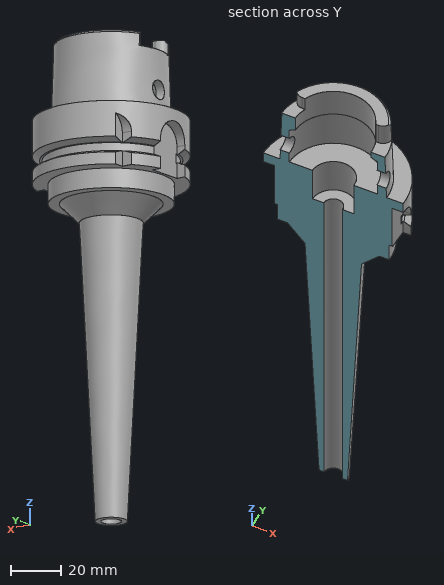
import cadquery as cq
import math

total_height = 197.0
flange_top = 165.3
groove_upper_edge = 150.5
groove_ceiling = 149.0
groove_floor = 145.4
groove_lower_edge = 144.0
flange_bottom = 139.0
collar_bottom = 131.0
neck_top = 123.1

tip_radius = 6.5
neck_radius = 12.8
shoulder_radius = 20.7
collar_radius = 25.2
flange_radius = 31.5
groove_shelf_radius = 28.5
groove_radius = 27.5
taper_base_radius = 24.0
taper_top_radius = 23.0
rim_chamfer = 1.0

through_radius = 4.1
socket_radius = 9.3
socket_depth = 47.3
bore_radius = 17.0
bore_lip_depth = 12.6
relief_radius = 19.7
relief_flank_angle = 30.0
relief_depth = 31.5

slot_half_width = 6.1
slot_flare_radius = 4.0
slot_flare_reach = 21.0
left_slot_depth = 6.0
right_slot_depth = 9.7

cross_hole_radius = 4.0
cross_hole_height = 174.3

key_top = 160.2
key_floor = 26.5
left_key_radius = 8.0
right_key_radius = 9.0
notch_radius = 8.0
notch_center_y = 27.8
notch_top = 161.0
notch_floor = 20.0


def outer_body():
    profile = [
        (0, 0),
        (tip_radius, 0),
        (neck_radius, neck_top),
        (shoulder_radius, collar_bottom),
        (collar_radius, collar_bottom),
        (collar_radius, flange_bottom),
        (flange_radius, flange_bottom),
        (flange_radius, groove_lower_edge),
        (groove_shelf_radius, groove_floor),
        (groove_radius, groove_floor),
        (groove_radius, groove_ceiling),
        (groove_shelf_radius, groove_ceiling),
        (flange_radius, groove_upper_edge),
        (flange_radius, flange_top),
        (taper_base_radius, flange_top),
        (taper_top_radius, total_height - rim_chamfer),
        (taper_top_radius - rim_chamfer, total_height),
        (0, total_height),
    ]
    return cq.Workplane("XZ").polyline(profile).close().revolve(360, (0, 0, 0), (0, 1, 0))


def bore():
    """Hollow of the taper with a clamping relief, a socket and a through hole."""
    lip = total_height - bore_lip_depth
    flank_width = relief_radius - bore_radius
    flank_end = lip - flank_width * math.tan(math.radians(relief_flank_angle))
    relief_floor = total_height - relief_depth
    socket_floor = total_height - socket_depth
    profile = [
        (0, 0),
        (through_radius, 0),
        (through_radius, socket_floor),
        (socket_radius, socket_floor),
        (socket_radius, relief_floor),
        (relief_radius, relief_floor),
        (relief_radius, flank_end),
        (bore_radius, lip),
        (bore_radius, total_height),
        (0, total_height),
    ]
    return cq.Workplane("XZ").polyline(profile).close().revolve(360, (0, 0, 0), (0, 1, 0))


def drive_slot(side, depth):
    """Slot through the rim on one X side (-1 or 1), its outer corners rounded."""
    flare_start = slot_flare_reach - slot_flare_radius
    flare_half_width = slot_half_width + slot_flare_radius
    arc_x = flare_start + slot_flare_radius * math.sin(math.radians(45))
    arc_y = flare_half_width - slot_flare_radius * math.cos(math.radians(45))
    return (
        cq.Workplane("XY", origin=(0, 0, total_height - depth))
        .moveTo(0, -slot_half_width)
        .lineTo(side * flare_start, -slot_half_width)
        .threePointArc((side * arc_x, -arc_y), (side * slot_flare_reach, -flare_half_width))
        .lineTo(side * flange_radius, -flare_half_width)
        .lineTo(side * flange_radius, flare_half_width)
        .lineTo(side * slot_flare_reach, flare_half_width)
        .threePointArc((side * arc_x, arc_y), (side * flare_start, slot_half_width))
        .lineTo(0, slot_half_width)
        .close()
        .extrude(depth)
    )


def arched_cut(side, center_y, radius, top, floor):
    """Round-topped cutout, open at the flange bottom, with a flat floor facing X."""
    spring = top - radius
    return (
        cq.Workplane("YZ", origin=(side * floor, 0, 0))
        .moveTo(center_y - radius, flange_bottom)
        .lineTo(center_y - radius, spring)
        .threePointArc((center_y, top), (center_y + radius, spring))
        .lineTo(center_y + radius, flange_bottom)
        .close()
        .extrude(side * flange_radius)
    )


cross_hole = (
    cq.Workplane("YZ", origin=(-flange_radius, 0, cross_hole_height))
    .circle(cross_hole_radius)
    .extrude(2 * flange_radius)
)

result = (
    outer_body()
    .cut(bore())
    .cut(drive_slot(-1, left_slot_depth))
    .cut(drive_slot(1, right_slot_depth))
    .cut(cross_hole)
    .cut(arched_cut(-1, 0, left_key_radius, key_top, key_floor))
    .cut(arched_cut(1, 0, right_key_radius, key_top, key_floor))
    .cut(arched_cut(-1, notch_center_y, notch_radius, notch_top, notch_floor))
)